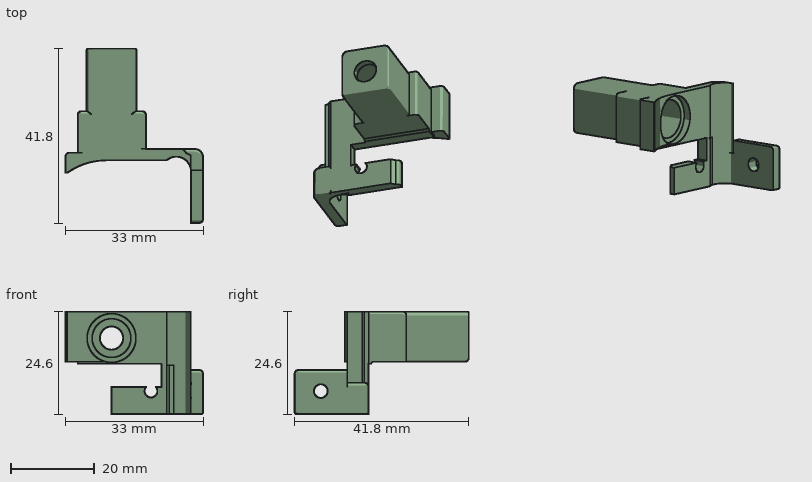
import cadquery as cq
import math

total_height = 24.55
housing_bottom = 12.52
plate_bottom = 12.02
arm_top = 6.5
tab_top = 10.6

plate_front = 15.0
plate_back = 17.75
flange_back = 16.85
flange_tip_y = 12.02
flange_tip_width = 0.45
flange_curve_end = 9.8
plate_left = 2.92
column_left = 23.0
arm_left = 11.02
arm_shoulder_y = 16.8
wall_right = 30.05
wall_chamfer_start = 28.15
wall_chamfer_middle = (29.0, 16.7)
wall_chamfer_end_y = 16.2

corner_radius = 3.5
corner_center_x = wall_right - corner_radius
corner_center_y = 12.35
corner_start_x = corner_center_x - math.sqrt(
    corner_radius**2 - (plate_front - corner_center_y) ** 2
)

tab_right = 33.0
tab_step_y = 12.6
tab_step_z = 7.5
tab_corner_radius = 2.0
tab_hole_diameter = 3.2
tab_hole_y = 6.3
tab_hole_z = 5.5

edge_round = 1.0
small_round = 0.5

block_left = plate_left
block_right = 19.35
block_back = 26.8
core_center_x = 11.05
core_width = 12.02
core_back = 41.75
core_round = 1.45
core_root_y = 20.88
ledge_back = 18.75
bore_z = 18.2
counterbore_diameter = 11.7
counterbore_depth = 1.88
bore_diameter = 9.25
through_diameter = 5.5
bore_end_wall = 2.0

notch_diameter = 3.0
notch_x = 20.5
notch_z = 5.5

strip_edges = [corner_start_x, 24.85, 25.95]
strip_height = 11.65
strip_back = 16.05


def box(x0, x1, y0, y1, z0, z1):
    """Box between two opposite corners."""
    return cq.Workplane("XY").box(x1 - x0, y1 - y0, z1 - z0, centered=False).translate((x0, y0, z0))


def cylinder_y(diameter, x, z, y0, y1):
    """Cylinder along Y between y0 and y1."""
    return cq.Workplane("XZ", origin=(x, y0, z)).circle(diameter / 2).extrude(y0 - y1)


def corner_cutter():
    """Vertical cylinder that shapes the concave round."""
    return (
        cq.Workplane("XY")
        .center(corner_center_x, corner_center_y)
        .circle(corner_radius)
        .extrude(total_height)
    )


def flange():
    """Curved left end of the plate."""
    run = flange_curve_end - flange_tip_width
    rise = plate_front - flange_tip_y
    radius = (run**2 + rise**2) / (2 * rise)
    half_angle = math.asin(run / radius) / 2
    middle = (
        flange_curve_end - radius * math.sin(half_angle),
        plate_front - radius * (1 - math.cos(half_angle)),
    )
    body = (
        cq.Workplane("XY", origin=(0, 0, housing_bottom))
        .moveTo(0, flange_tip_y)
        .lineTo(flange_tip_width, flange_tip_y)
        .threePointArc(middle, (flange_curve_end, plate_front))
        .lineTo(flange_curve_end, flange_back)
        .lineTo(0, flange_back)
        .close()
        .extrude(total_height - housing_bottom)
    )
    return body.edges("|Z and <X and >Y").fillet(edge_round)


def wall():
    """Tall plate above the slot, and the full-height corner wall right of it."""
    plate = box(flange_curve_end, column_left, plate_front, plate_back, plate_bottom, total_height)
    corner_wall = (
        cq.Workplane("XY")
        .moveTo(column_left, plate_front)
        .lineTo(corner_center_x, plate_front)
        .lineTo(corner_center_x, tab_step_y)
        .lineTo(wall_right, tab_step_y)
        .lineTo(wall_right, wall_chamfer_end_y)
        .lineTo(*wall_chamfer_middle)
        .lineTo(wall_chamfer_start, plate_back)
        .lineTo(column_left, plate_back)
        .close()
        .extrude(total_height)
    )
    return plate.union(corner_wall)


def ledge():
    """Low strip under the housing, with a sloping rear edge."""
    drop = housing_bottom - plate_bottom
    return (
        cq.Workplane("YZ", origin=(block_left, 0, 0))
        .moveTo(plate_front, housing_bottom)
        .lineTo(plate_front, plate_bottom)
        .lineTo(ledge_back - drop, plate_bottom)
        .lineTo(ledge_back, housing_bottom)
        .close()
        .extrude(block_right - block_left)
    )


def arm():
    """Lower arm with a rounded, bevelled rear end and an open round notch."""
    round_start_y = arm_shoulder_y - edge_round
    round_end_x = arm_left + edge_round
    round_middle = (
        arm_left + edge_round * (1 - math.sqrt(0.5)),
        round_start_y + edge_round * math.sqrt(0.5),
    )
    body = (
        cq.Workplane("XY")
        .moveTo(column_left, plate_front)
        .lineTo(arm_left, plate_front)
        .lineTo(arm_left, round_start_y)
        .threePointArc(round_middle, (round_end_x, arm_shoulder_y))
        .lineTo(round_end_x + plate_back - arm_shoulder_y, plate_back)
        .lineTo(column_left, plate_back)
        .close()
        .extrude(arm_top)
    )
    return body.cut(cylinder_y(notch_diameter, notch_x, notch_z, plate_front, plate_back))


def tab_slab(y0, y1, height, outer_end, joint_end, corner_round):
    """Slab along the right side, with every edge rounded that is not at its joint end or left side."""
    free_edges = f"(not <X) and (not {joint_end})"
    body = box(wall_chamfer_start, tab_right, y0, y1, 0, height)
    body = body.edges(f"|Z and >X and {outer_end}").fillet(corner_round)
    body = body.faces(">Z").edges(free_edges).fillet(edge_round)
    return body.faces("<Z").edges(free_edges).fillet(small_round)


def tab():
    """Tall front slab and low rear slab, with the cross hole."""
    front = tab_slab(0, tab_step_y, tab_top, "<Y", ">Y", edge_round)
    rear = tab_slab(tab_step_y, plate_back, tab_step_z, ">Y", "<Y", tab_corner_radius)
    inner_side = box(wall_chamfer_start, wall_right, 0, corner_center_y, 0, tab_top)
    hole = (
        cq.Workplane("YZ", origin=(wall_right, tab_hole_y, tab_hole_z))
        .circle(tab_hole_diameter / 2)
        .extrude(tab_right - wall_right)
    )
    return front.union(rear).cut(inner_side).cut(hole)


def housing_blocks():
    """Wide block against the plate and the long core behind it."""
    wide = box(block_left, block_right, flange_back, block_back, housing_bottom, total_height)
    wide = wide.edges("(|Z and >Y) or (>Z and (not <Y))").fillet(edge_round)
    half_width = core_width / 2
    core = box(
        core_center_x - half_width, core_center_x + half_width,
        core_root_y, core_back, housing_bottom, total_height,
    )
    core = core.edges("|Y and >Z").fillet(core_round)
    core = core.edges("<Z and >Y").fillet(edge_round)
    core = core.faces(">Y").edges("not <Z").fillet(small_round)
    return wide.union(core)


def stepped_bore():
    """Counterbore, main bore and small through hole on one axis."""
    counterbore = cylinder_y(
        counterbore_diameter, core_center_x, bore_z, flange_tip_y, plate_front + counterbore_depth
    )
    bore = cylinder_y(bore_diameter, core_center_x, bore_z, flange_tip_y, core_back - bore_end_wall)
    through = cylinder_y(through_diameter, core_center_x, bore_z, flange_tip_y, core_back)
    return counterbore.union(bore).union(through)


def strip_space(left, right):
    """Space taken by one strip, before the concave round trims its face."""
    return box(left, right, plate_front, strip_back, 0, strip_height)


def make_bracket():
    """Whole bracket before the inlaid bodies are taken out."""
    low_plate = box(block_left, flange_curve_end, plate_front, flange_back, plate_bottom, housing_bottom)
    body = wall().union(flange()).union(low_plate).union(ledge()).union(arm())
    body = body.union(tab()).union(housing_blocks())
    return body.cut(corner_cutter()).cut(stepped_bore())


whole = make_bracket()
strip_spaces = [strip_space(a, b) for a, b in zip(strip_edges, strip_edges[1:])]
strips = [whole.intersect(space) for space in strip_spaces]

bracket = whole
for space in strip_spaces:
    bracket = bracket.cut(space)

result = cq.Compound.makeCompound(
    [bracket.solids().val(), *[strip.solids().val() for strip in strips]]
)